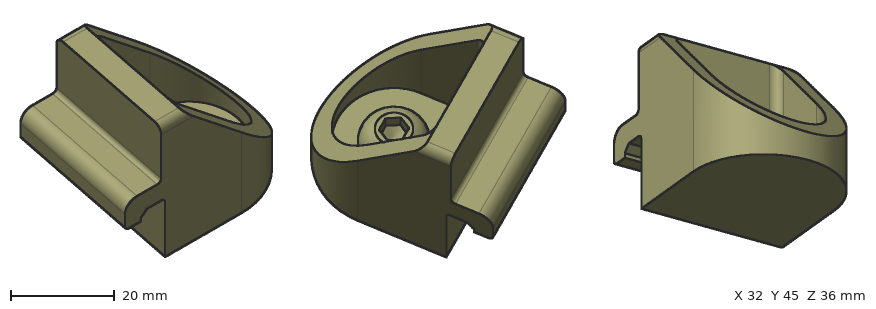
import cadquery as cq
import math

width = 32.0
height = 36.0
end_radius = width / 2
low_edge_height = 6.0
slope_angle = 45.0
upper_wall_y = -20.0
lower_wall_y = -19.0
top_corner_radius = 2.0

tongue_top = 21.0
tongue_thickness = 5.0
tongue_bottom = tongue_top - tongue_thickness
tip_y = -29.0
tip_thickness = 4.0
tip_inner_y = tip_y + tip_thickness
tip_bottom = 13.5
tip_chamfer = 1.5
tip_top_radius = 3.0
small_radius = 1.0

wall = 4.0
pocket_radius = end_radius - wall
pocket_floor = low_edge_height
pocket_corner_radius = 2.0

slope_top_y = end_radius - (height - low_edge_height) / math.tan(math.radians(slope_angle))

head_radius = 7.0
head_height = 4.4
head_flat_radius = 3.7
socket_across_flats = 5.0
socket_depth = 2.6
socket_point_angle = 120.0


def d_outline(radius, straight_y, bottom, top):
    """Vertical prism with a half-round +Y end and a straight -Y side."""
    return (
        cq.Workplane("XY", origin=(0, 0, bottom))
        .moveTo(-radius, straight_y)
        .lineTo(radius, straight_y)
        .lineTo(radius, 0)
        .threePointArc((0, radius), (-radius, 0))
        .close()
        .extrude(top - bottom)
    )


def make_side_prism():
    """Side profile with the slope and the hooked tongue, swept across the width."""
    profile = [
        (end_radius, 0),
        (end_radius, low_edge_height),
        (slope_top_y, height),
        (upper_wall_y, height),
        (upper_wall_y, tongue_top),
        (tip_y, tongue_top),
        (tip_y, tip_bottom),
        (tip_inner_y, tip_bottom),
        (tip_inner_y, tongue_bottom - tip_chamfer),
        (tip_inner_y + tip_chamfer, tongue_bottom),
        (lower_wall_y, tongue_bottom),
        (lower_wall_y, 0),
    ]
    prism = cq.Workplane("YZ").polyline(profile).close().extrude(end_radius, both=True)
    edge_radii = [
        (upper_wall_y, tongue_top, small_radius),
        (tip_y, tongue_top, tip_top_radius),
        (tip_y, tip_bottom, small_radius),
        (lower_wall_y, tongue_bottom, small_radius),
    ]
    for y, z, radius in edge_radii:
        prism = prism.edges(cq.selectors.NearestToPointSelector((0, y, z))).fillet(radius)
    for x in (-end_radius, end_radius):
        corner = (x, (slope_top_y + upper_wall_y) / 2, height)
        prism = prism.edges(cq.selectors.NearestToPointSelector(corner)).fillet(top_corner_radius)
    return prism


def make_body():
    pocket = d_outline(pocket_radius, slope_top_y, pocket_floor, height)
    pocket = pocket.edges("|Z and <Y").fillet(pocket_corner_radius)
    body = make_side_prism().intersect(d_outline(end_radius, tip_y, 0, height))
    return body.cut(pocket)


def make_screw_head():
    """Domed head whose arc leaves the floor vertically, with a hex socket."""
    radius_drop = head_radius - head_flat_radius
    dome_radius = (radius_drop**2 + head_height**2) / (2 * radius_drop)
    dome_centre = head_radius - dome_radius
    half_angle = math.atan2(head_height, head_flat_radius - dome_centre) / 2
    dome_middle = (
        dome_centre + dome_radius * math.cos(half_angle),
        pocket_floor + dome_radius * math.sin(half_angle),
    )
    head_top = pocket_floor + head_height
    head = (
        cq.Workplane("XZ")
        .moveTo(0, pocket_floor)
        .lineTo(head_radius, pocket_floor)
        .threePointArc(dome_middle, (head_flat_radius, head_top))
        .lineTo(0, head_top)
        .close()
        .revolve(360, (0, 0), (0, 1))
    )
    return head.cut(make_socket(head_top))


def make_socket(head_top):
    """Hexagonal socket with corners on the X axis and a conical bottom."""
    corner_radius = socket_across_flats / math.sqrt(3)
    point_depth = corner_radius / math.tan(math.radians(socket_point_angle / 2))
    hexagon = (
        cq.Workplane("XY", origin=(0, 0, head_top))
        .polygon(6, 2 * corner_radius)
        .extrude(-socket_depth - point_depth)
    )
    socket_bottom = head_top - socket_depth
    envelope = (
        cq.Workplane("XZ")
        .polyline([
            (0, head_top),
            (corner_radius, head_top),
            (corner_radius, socket_bottom),
            (0, socket_bottom - point_depth),
        ])
        .close()
        .revolve(360, (0, 0), (0, 1))
    )
    return hexagon.intersect(envelope)


result = make_body().union(make_screw_head())